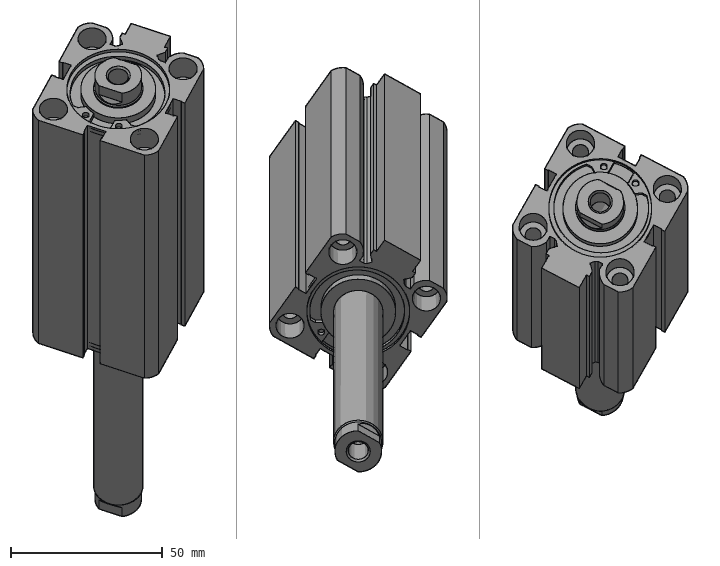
import cadquery as cq
import math


body_width = 45.0
body_height = 116.0
bore_radius = 17.0
half_width = body_width / 2

overall_depth = 50.0
rail_top = overall_depth - half_width
rail_half_width = 7.0
lip_half_width = 8.1
lip_top = 22.5
lip_bottom = 20.5
neck_half_width = 6.2
neck_y = 18.3
clearance_floor_x = 8.1
clearance_floor_y = 16.5
clearance_root_x = 7.3
clearance_root_y = 17.0
clearance_outer_x = 10.0

screw_offset = 16.3
corner_radius = 6.8
screw_radius = 2.6
counterbore_radius = 4.6
counterbore_depth = 10.0

slot_floor = 18.3
slot_half_width = 3.3
slot_mouth_half_width = 3.0
slot_lip = 1.3

ring_depth = 1.3
ring_thickness = 1.8
ring_radius = 18.0
ring_inner_radius = 15.6
ring_inner_shift = 0.7
lug_top_y = 11.5
lug_bend_x = 9.5
lug_inner_x = 7.0
lug_inner_y = 10.0
lug_end_x = 3.7
lug_hole_x = 6.0
lug_hole_y = 13.5
lug_hole_radius = 1.0

boss_radius = 12.3
cover_length = 22.0
flange_depth = ring_depth + ring_thickness

rod_radius = 8.1
tip_radius = 7.7
tip_length = 6.2
across_flats = 13.0
flat_offset = across_flats / 2
flat_length = 4.6
shoulder_chamfer = 0.5
rod_hole_radius = 3.3
rod_hole_chamfer = 0.7
rod_hole_depth = 11.0
drill_point_angle = 31
drill_point_depth = rod_hole_radius * math.tan(math.radians(drill_point_angle))
upper_reach = 7.0
rod_length = 220.0
rod_top = body_height + upper_reach
rod_bottom = rod_top - rod_length


def cylinder(radius, z_start, z_end):
    """Upright cylinder on the bore axis."""
    return cq.Workplane("XY").workplane(offset=z_start).circle(radius).extrude(z_end - z_start)


def block(x_min, x_max, y_min, y_max, z_min, z_max):
    """Box given by its limits along each axis."""
    size = (x_max - x_min, y_max - y_min, z_max - z_min)
    return cq.Workplane("XY").box(*size, centered=False).translate((x_min, y_min, z_min))


def mirrored_to_lower_end(body):
    """Copy of a body of the upper end, placed at the lower end of the housing."""
    return body.mirror("XY", (0, 0, body_height / 2))


def make_profile():
    """Solid outline of the housing: a square with corners rounded about the screw holes, plus the rail."""
    square = block(-half_width, half_width, -half_width, half_width, 0, body_height)
    screw_pitch = 2 * screw_offset
    screw_centers = cq.Workplane("XY").rect(screw_pitch, screw_pitch, forConstruction=True).vertices()
    corners = screw_centers.circle(corner_radius).extrude(body_height)
    across = block(-half_width, half_width, -screw_offset, screw_offset, 0, body_height)
    along = block(-screw_offset, screw_offset, -half_width, clearance_floor_y, 0, body_height)
    rail = block(-rail_half_width, rail_half_width, 0, rail_top, 0, body_height)
    lips = block(-lip_half_width, lip_half_width, 0, lip_top, 0, body_height)
    rounded_square = square.intersect(across.union(along).union(corners))
    return rounded_square.union(rail).union(lips)


def make_clearance(side):
    """Gap below the rail's lip, on one side of the rail."""
    points = [
        (lip_half_width, lip_bottom),
        (neck_half_width, neck_y),
        (clearance_root_x, clearance_root_y),
        (clearance_floor_x, clearance_floor_y),
        (clearance_outer_x, clearance_floor_y),
        (clearance_outer_x, lip_bottom),
    ]
    outline = [(side * x, y) for x, y in points]
    return cq.Workplane("XY").polyline(outline).close().extrude(body_height)


def make_slot(angle):
    """Lipped slot in the +X face, turned about Z to the face it belongs to."""
    lip_inner = half_width - slot_lip
    channel = block(slot_floor, lip_inner, -slot_half_width, slot_half_width, 0, body_height)
    mouth = block(lip_inner, half_width, -slot_mouth_half_width, slot_mouth_half_width, 0, body_height)
    return channel.union(mouth).rotate((0, 0, 0), (0, 0, 1), angle)


def make_screw_hole(x, y):
    """Through hole with a counterbore at each end."""
    hole = cylinder(screw_radius, 0, body_height)
    lower = cylinder(counterbore_radius, 0, counterbore_depth)
    upper = mirrored_to_lower_end(lower)
    return hole.union(lower).union(upper).translate((x, y, 0))


def make_housing():
    """Profile body with its clearances, slots, screw holes, bore and ring grooves."""
    body = make_profile()
    for side in (-1, 1):
        body = body.cut(make_clearance(side))
    for angle in (0, 180, 270):
        body = body.cut(make_slot(angle))
    for x in (-screw_offset, screw_offset):
        for y in (-screw_offset, screw_offset):
            body = body.cut(make_screw_hole(x, y))
    groove = cylinder(ring_radius, body_height - flange_depth, body_height - ring_depth)
    body = body.cut(cylinder(bore_radius, 0, body_height))
    return body.cut(groove).cut(mirrored_to_lower_end(groove))


def make_cover():
    """Upper rod guide: a flange in the bore below the ring and a boss that ends flush with the housing."""
    flange_top = body_height - flange_depth
    flange = cylinder(bore_radius, body_height - cover_length, flange_top)
    boss = cylinder(boss_radius, flange_top, body_height)
    return flange.union(boss).cut(cylinder(rod_radius, 0, body_height))


def make_ring():
    """Upper retaining ring, open at -Y, with a plier hole in each lug."""
    z_min = body_height - flange_depth
    z_max = body_height - ring_depth
    disc = cylinder(ring_radius, z_min, z_max)
    opening = cylinder(ring_inner_radius, z_min, z_max).translate((0, -ring_inner_shift, 0))
    lug_outline = [
        (-ring_radius, -ring_radius),
        (-ring_radius, -lug_top_y),
        (-lug_bend_x, -lug_top_y),
        (-lug_inner_x, -lug_inner_y),
        (lug_inner_x, -lug_inner_y),
        (lug_bend_x, -lug_top_y),
        (ring_radius, -lug_top_y),
        (ring_radius, -ring_radius),
    ]
    lug_plane = cq.Workplane("XY").workplane(offset=z_min)
    lug_zone = lug_plane.polyline(lug_outline).close().extrude(ring_thickness)
    ring = disc.cut(opening.cut(lug_zone)).cut(cylinder(boss_radius, z_min, z_max))
    ring = ring.cut(block(-lug_end_x, lug_end_x, -ring_radius, -boss_radius / 2, z_min, z_max))
    for x in (-lug_hole_x, lug_hole_x):
        ring = ring.cut(cylinder(lug_hole_radius, z_min, z_max).translate((x, -lug_hole_y, 0)))
    return ring


def make_rod_end_cutters():
    """Cutters for the upper rod end: turned-down tip, flats with 45-degree ends and centre hole."""
    tip_base = rod_top - tip_length
    around_tip = cylinder(2 * rod_radius, tip_base, rod_top).cut(cylinder(tip_radius, tip_base, rod_top))
    flat_base = rod_top - flat_length
    flat_depth = tip_radius - flat_offset
    flat_profile = [
        (flat_offset, rod_top),
        (flat_offset, flat_base),
        (tip_radius, flat_base - flat_depth),
        (tip_radius, rod_top),
    ]
    flat = cq.Workplane("YZ").polyline(flat_profile).close().extrude(rod_radius, both=True)
    hole_profile = [
        (0, rod_top),
        (rod_hole_radius + rod_hole_chamfer, rod_top),
        (rod_hole_radius, rod_top - rod_hole_chamfer),
        (rod_hole_radius, rod_top - rod_hole_depth),
        (0, rod_top - rod_hole_depth - drill_point_depth),
    ]
    hole = cq.Workplane("XZ").polyline(hole_profile).close().revolve(360, (0, 0), (0, 1))
    return around_tip, flat, flat.mirror("XZ"), hole


def make_rod():
    """Piston rod that runs through both covers, with the same end at top and bottom."""
    rod = cylinder(rod_radius, rod_bottom + tip_length, rod_top - tip_length)
    rod = rod.faces("<Z or >Z").chamfer(shoulder_chamfer)
    rod = rod.union(cylinder(tip_radius, rod_bottom, rod_top))
    for cutter in make_rod_end_cutters():
        lower_cutter = cutter.mirror("XY", (0, 0, (rod_top + rod_bottom) / 2))
        rod = rod.cut(cutter).cut(lower_cutter)
    return rod


housing = make_housing()
rod = make_rod()
upper_cover = make_cover()
lower_cover = mirrored_to_lower_end(upper_cover)
upper_ring = make_ring()
lower_ring = mirrored_to_lower_end(upper_ring)

result = cq.Compound.makeCompound([
    housing.val(),
    rod.val(),
    upper_cover.val(),
    lower_cover.val(),
    upper_ring.val(),
    lower_ring.val(),
])